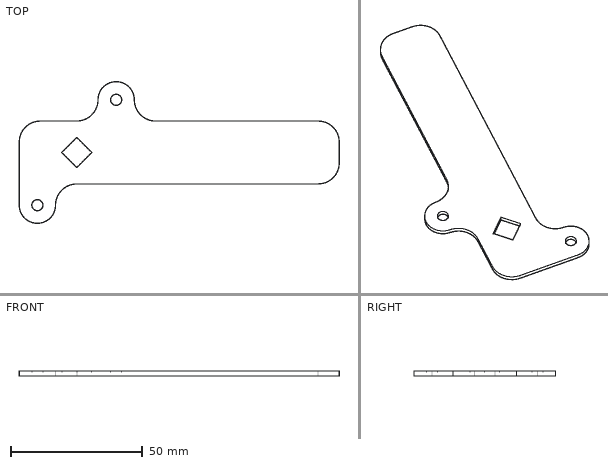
import cadquery as cq
import math

length = 122.0
height = 54.0
thickness = 2.0
square_from_left = 22.0
square_side = 8.0
lobe_radius = 7.0
blend_radius = 8.0
hole_diameter = 4.1

left = -square_from_left
right = left + length
lobe_x = square_from_left - lobe_radius
lobe_y = height / 2 - lobe_radius
arm_half_width = lobe_y - blend_radius
lobe_centers = [(lobe_x, lobe_y), (-lobe_x, -lobe_y)]


def arc_point(center_x, center_y, radius, degrees):
    """Point on a circle at the given angle."""
    angle = math.radians(degrees)
    return (center_x + radius * math.cos(angle), center_y + radius * math.sin(angle))


def quarter_arc(outline, center_x, center_y, start, end):
    """Add a quarter turn of blend radius about a centre, between two angles."""
    middle = arc_point(center_x, center_y, blend_radius, (start + end) / 2)
    finish = arc_point(center_x, center_y, blend_radius, end)
    return outline.threePointArc(middle, finish)


def make_plate():
    """Arm with one lobe above and one below, traced clockwise from the left edge."""
    corner_y = arm_half_width - blend_radius
    corner_left = left + blend_radius
    corner_right = right - blend_radius
    blend_offset = lobe_radius + blend_radius

    outline = cq.Workplane("XY").moveTo(left, -lobe_y).lineTo(left, corner_y)
    outline = quarter_arc(outline, corner_left, corner_y, 180, 90)

    outline = outline.lineTo(lobe_x - blend_offset, arm_half_width)
    outline = quarter_arc(outline, lobe_x - blend_offset, lobe_y, -90, 0)
    outline = outline.threePointArc((lobe_x, lobe_y + lobe_radius), (lobe_x + lobe_radius, lobe_y))
    outline = quarter_arc(outline, lobe_x + blend_offset, lobe_y, 180, 270)

    outline = outline.lineTo(corner_right, arm_half_width)
    outline = quarter_arc(outline, corner_right, corner_y, 90, 0)
    outline = outline.lineTo(right, -corner_y)
    outline = quarter_arc(outline, corner_right, -corner_y, 0, -90)

    outline = outline.lineTo(-lobe_x + blend_offset, -arm_half_width)
    outline = quarter_arc(outline, -lobe_x + blend_offset, -lobe_y, 90, 180)
    outline = outline.threePointArc((-lobe_x, -lobe_y - lobe_radius), (left, -lobe_y))
    return outline.close().extrude(thickness)


def make_cutters():
    """Round hole in each lobe and a square hole standing on its corner."""
    round_holes = cq.Workplane("XY").pushPoints(lobe_centers).circle(hole_diameter / 2).extrude(thickness)
    square = cq.Workplane("XY").rect(square_side, square_side).extrude(thickness)
    return round_holes.union(square.rotate((0, 0, 0), (0, 0, 1), 45))


result = make_plate().cut(make_cutters())